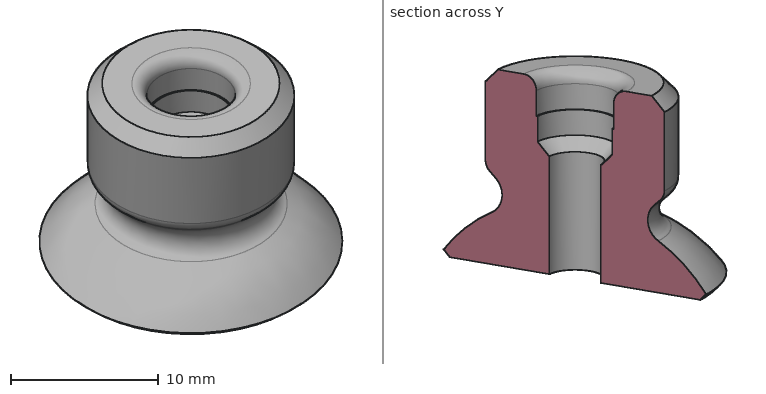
import cadquery as cq
import math

lip_diameter = 20.5
lip_bevel = 0.5
skirt_top_z = 3.71

waist_diameter = 11.4
neck_radius = 1.52

total_height = 13.9
body_diameter = 14.0
body_chamfer = 1.0
body_round = 1.0
body_bottom_z = 7.34
cone_angle = math.radians(48)

bore_diameter = 6.0
mouth_round = 1.0
ledge_z = 11.07
ledge_width = 0.1
funnel_top_z = 9.27
funnel_height = 0.9
hole_diameter = 4.0


def arc_point(center, radius, angle):
    """Point (r, z) on a circle, with the angle measured from the +r direction."""
    return (center[0] + radius * math.cos(angle), center[1] + radius * math.sin(angle))


def revolve_profile(profile):
    """Close an (r, z) outline and turn it once around the Z axis."""
    return profile.close().revolve(360, (0, 0, 0), (0, 1, 0))


def make_cup():
    """Solid outer shape: skirt, neck and body."""
    lip_radius = lip_diameter / 2
    body_radius = body_diameter / 2

    round_center = (body_radius - body_round, body_bottom_z)
    round_middle = arc_point(round_center, body_round, -cone_angle / 2)
    cone_top = arc_point(round_center, body_round, -cone_angle)

    neck_center_r = waist_diameter / 2 + neck_radius
    cone_bottom_r = neck_center_r - neck_radius * math.cos(cone_angle)
    cone_drop = (cone_top[0] - cone_bottom_r) / math.tan(cone_angle)
    cone_bottom = (cone_bottom_r, cone_top[1] - cone_drop)
    neck_center_z = cone_bottom[1] - neck_radius * math.sin(cone_angle)
    neck_center = (neck_center_r, neck_center_z)
    waist = arc_point(neck_center, neck_radius, math.pi)
    neck_end_angle = math.pi + math.asin((neck_center_z - skirt_top_z) / neck_radius)
    skirt_top = arc_point(neck_center, neck_radius, neck_end_angle)

    profile = (
        cq.Workplane("XZ")
        .moveTo(0, total_height)
        .lineTo(body_radius - body_chamfer, total_height)
        .lineTo(body_radius, total_height - body_chamfer)
        .lineTo(body_radius, body_bottom_z)
        .threePointArc(round_middle, cone_top)
        .lineTo(*cone_bottom)
        .threePointArc(waist, skirt_top)
        .tangentArcPoint((lip_radius, lip_bevel), relative=False)
        .lineTo(lip_radius - lip_bevel, 0)
        .lineTo(0, 0)
    )
    return revolve_profile(profile)


def make_bore():
    """Volume removed along the axis."""
    bore_radius = bore_diameter / 2
    lower_radius = bore_radius - ledge_width
    hole_radius = hole_diameter / 2

    mouth_center = (bore_radius + mouth_round, total_height - mouth_round)
    mouth_middle = arc_point(mouth_center, mouth_round, math.radians(135))

    profile = (
        cq.Workplane("XZ")
        .moveTo(0, total_height)
        .lineTo(mouth_center[0], total_height)
        .threePointArc(mouth_middle, (bore_radius, mouth_center[1]))
        .lineTo(bore_radius, ledge_z)
        .lineTo(lower_radius, ledge_z)
        .lineTo(lower_radius, funnel_top_z)
        .lineTo(hole_radius, funnel_top_z - funnel_height)
        .lineTo(hole_radius, 0)
        .lineTo(0, 0)
    )
    return revolve_profile(profile)


result = make_cup().cut(make_bore())